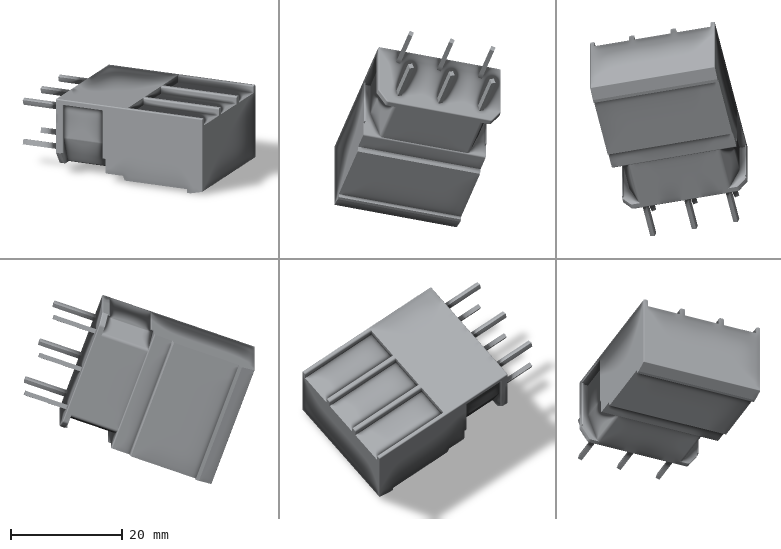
import cadquery as cq

length = 37.0
width = 22.85
height = 14.3
edge_radius = 0.2
rear_edge_radius = 0.1

pin_count = 3
pin_length = 8.0
pin_width = 0.8
pin_height = 1.0
pin_twist = 18.0
pin_embed = 0.37
pitch = width / pin_count
row_mid_z = 7.9

body_start = pin_length
front_block_end = 17.87
front_bottom_z = 1.75
mid_bottom_z = 1.55
block_end_radius = 0.25
rear_bottom_z = 0.7
rear_step_x = 21.3
rear_step_run = 0.35
hook_start = 34.0
hook_flat_end = 34.65
hook_tip_z = 0.6

bevel_width = 1.65
bevel_top_z = 4.15

pocket_start = 9.05
pocket_end = front_block_end
pocket_top_z = 13.35
pocket_depth = 1.3
slope_top_z = 6.7
slope_bottom_depth = 3.2
bend_radius = 0.6
mouth_start = 9.47
mouth_end = 17.25
lip_thickness = 0.22
lip_bottom_z = 4.3

channel_start = 22.05
channel_depth = 1.37
rib_width = 0.95
side_wall = 0.8
rib_edge_radius = 0.3


def mirrored(shape):
    """Copy of a shape on the opposite side of the housing."""
    return shape.mirror("XZ", (0, width / 2, 0))


def flared_slot(workplane, start, end, depth, radius):
    """Slot section below the local X axis whose two mouth edges are rounded over."""
    return (
        workplane.moveTo(start - radius, 0)
        .radiusArc((start, -radius), radius)
        .lineTo(start, -depth)
        .lineTo(end, -depth)
        .lineTo(end, -radius)
        .radiusArc((end + radius, 0), radius)
        .close()
    )


def front_block():
    """Block that carries the pins, with bevelled lower corners and rounded edges."""
    block = (
        cq.Workplane("YZ", origin=(body_start, 0, 0))
        .moveTo(0, height)
        .lineTo(0, bevel_top_z)
        .lineTo(bevel_width, front_bottom_z)
        .lineTo(width - bevel_width, front_bottom_z)
        .lineTo(width, bevel_top_z)
        .lineTo(width, height)
        .close()
        .extrude(front_block_end - body_start)
    )
    return block.edges("|X and <Z").fillet(bend_radius)


def rear_block():
    """Full-width block with the stepped underside and the latching hook."""
    return (
        cq.Workplane("XZ")
        .moveTo(front_block_end, height)
        .lineTo(length, height)
        .lineTo(length, hook_tip_z)
        .lineTo(hook_flat_end, 0)
        .lineTo(hook_start, 0)
        .lineTo(hook_start, rear_bottom_z)
        .lineTo(rear_step_x + rear_step_run, rear_bottom_z)
        .lineTo(rear_step_x, mid_bottom_z)
        .lineTo(front_block_end + block_end_radius, mid_bottom_z)
        .radiusArc((front_block_end, mid_bottom_z + block_end_radius), block_end_radius)
        .close()
        .extrude(-width)
    )


def housing():
    """Both blocks joined, with the outer edges rounded."""
    body = front_block().union(rear_block())
    body = body.faces("<X or >Z").edges("not(>X)").fillet(edge_radius)
    return body.faces(">X").edges().fillet(rear_edge_radius)


def pocket_cavity():
    """Space outside the pocket floor and its lower slope, with both bends rounded."""
    cavity = (
        cq.Workplane("YZ", origin=(pocket_start, 0, 0))
        .moveTo(0, pocket_top_z)
        .lineTo(pocket_depth, pocket_top_z)
        .lineTo(pocket_depth, slope_top_z)
        .lineTo(slope_bottom_depth, front_bottom_z)
        .lineTo(width / 2, front_bottom_z)
        .lineTo(width / 2, 0)
        .lineTo(0, 0)
        .close()
        .extrude(pocket_end - pocket_start)
    )
    mid_x = (pocket_start + pocket_end) / 2
    for bend_y, bend_z in ((pocket_depth, slope_top_z), (slope_bottom_depth, front_bottom_z)):
        bend_edge = cq.NearestToPointSelector((mid_x, bend_y, bend_z))
        cavity = cavity.edges("|X").edges(bend_edge).fillet(bend_radius)
    return cavity


def side_pocket():
    """Pocket in one side, with lips left standing above its lower end."""
    lip_height = pocket_top_z - lip_bottom_z
    lips = (
        cq.Workplane("XY", origin=(pocket_start, 0, lip_bottom_z))
        .box(pocket_end - pocket_start, lip_thickness, lip_height, centered=False)
    )
    mouth_plane = cq.Workplane(cq.Plane(origin=(0, 0, lip_bottom_z), xDir=(1, 0, 0), normal=(0, 0, -1)))
    mouth = flared_slot(mouth_plane, mouth_start, mouth_end, lip_thickness, edge_radius).extrude(-lip_height)
    return pocket_cavity().cut(lips).union(mouth)


def channel(start_y, end_y):
    """Channel open to the top and rear, with rounded top edges."""
    section = cq.Workplane("YZ", origin=(channel_start, 0, height))
    slot = flared_slot(section, start_y, end_y, channel_depth, rib_edge_radius)
    return slot.extrude(length - channel_start)


def pin(y, z, twist):
    """Straight pin whose tip lies at x = 0 and whose root sits inside the housing."""
    return (
        cq.Workplane("YZ")
        .rect(pin_width, pin_height)
        .extrude(pin_length + pin_embed)
        .rotate((0, 0, 0), (1, 0, 0), twist)
        .translate((0, y, z))
    )


result = housing()
pocket = side_pocket()
result = result.cut(pocket).cut(mirrored(pocket))

for i in range(pin_count):
    is_first = i == 0
    is_last = i == pin_count - 1
    channel_near_y = side_wall if is_first else i * pitch + rib_width / 2
    channel_far_y = width - side_wall if is_last else (i + 1) * pitch - rib_width / 2
    result = result.cut(channel(channel_near_y, channel_far_y))

for i in range(pin_count):
    pin_y = (i + 0.5) * pitch
    for side in (1, -1):
        result = result.union(pin(pin_y, row_mid_z + side * pitch / 2, side * pin_twist))